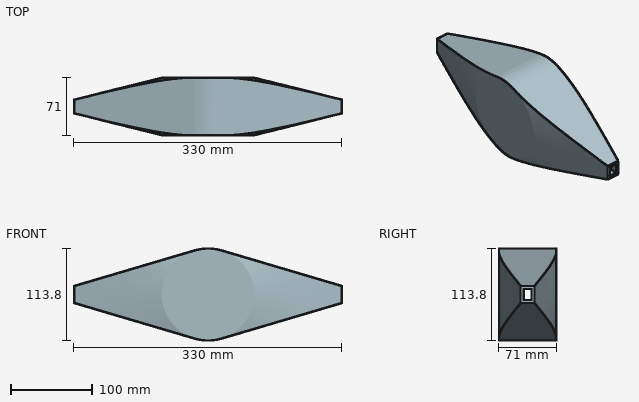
import cadquery as cq
import math

length = 330.0
thickness = 71.0
disc_radius = 56.92
end_height = 21.0
end_width = 17.0
end_wall = 4.0

half_length = length / 2
half_thickness = thickness / 2
half_end_height = end_height / 2


def lens_prism():
    """Round middle with straight tangents tapering to both ends, extruded along Y."""
    corner_distance = math.hypot(half_length, half_end_height)
    corner_angle = math.atan2(half_end_height, half_length)
    tangent_angle = corner_angle + math.acos(disc_radius / corner_distance)
    tangent_x = disc_radius * math.cos(tangent_angle)
    tangent_z = disc_radius * math.sin(tangent_angle)
    return (
        cq.Workplane("XZ")
        .moveTo(-half_length, -half_end_height)
        .lineTo(-tangent_x, -tangent_z)
        .threePointArc((0, -disc_radius), (tangent_x, -tangent_z))
        .lineTo(half_length, -half_end_height)
        .lineTo(half_length, half_end_height)
        .lineTo(tangent_x, tangent_z)
        .threePointArc((0, disc_radius), (-tangent_x, tangent_z))
        .lineTo(-half_length, half_end_height)
        .close()
        .extrude(half_thickness, both=True)
    )


def double_cone():
    """Two flat discs with cones flaring out from their rims, revolved about Y."""
    cone_slope = (half_thickness - end_width / 2) / (half_length - disc_radius)
    outer_radius = disc_radius + half_thickness / cone_slope
    return (
        cq.Workplane("XY")
        .moveTo(0, -half_thickness)
        .lineTo(disc_radius, -half_thickness)
        .lineTo(outer_radius, 0)
        .lineTo(disc_radius, half_thickness)
        .lineTo(0, half_thickness)
        .close()
        .revolve(360, (0, 0, 0), (0, 1, 0))
    )


def through_tunnel():
    """Rectangular passage from end to end, leaving an even wall around each end face."""
    return cq.Workplane("XY").box(length, end_width - 2 * end_wall, end_height - 2 * end_wall)


result = lens_prism().intersect(double_cone()).cut(through_tunnel())